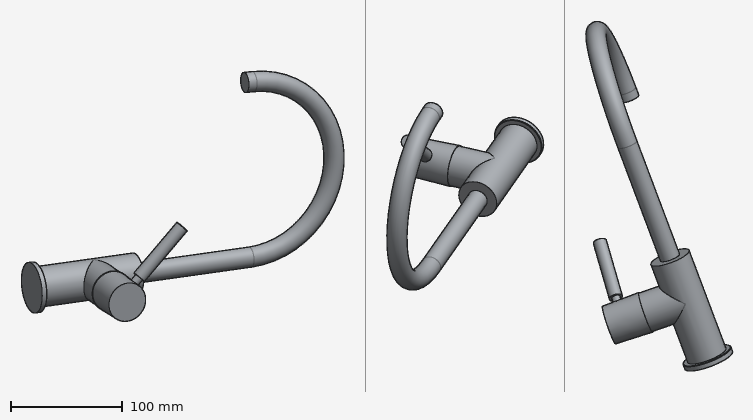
import cadquery as cq
import math

FLANGE_RADIUS = 23.0
FLANGE_THICKNESS = 5.0
FLANGE_CHAMFER = 0.5

HOUSING_RADIUS = 18.3
HOUSING_TOP = 101.7
BRANCH_Y = 61.0
BRANCH_END = 38.0

CAP_END = 72.7
CAP_BASE_RADIUS = 19.0
CAP_END_RADIUS = 18.0

SPOUT_RADIUS = 9.2
BEND_RADIUS = 82.5
BEND_START = 305.5 - BEND_RADIUS - SPOUT_RADIUS
BEND_SHORTFALL = 2.0
TIP_LENGTH = 8.0

LEVER_X = 60.0
LEVER_TILT = 45.0
LEVER_RADIUS = 6.0
LEVER_START = 24.5
LEVER_END = 84.0
STEM_RADIUS = 4.0
STEM_START = 15.3

ALONG_X = cq.Vector(1, 0, 0)
ALONG_Y = cq.Vector(0, 1, 0)
LEVER_DIRECTION = cq.Vector(0, math.cos(math.radians(LEVER_TILT)), math.sin(math.radians(LEVER_TILT)))
LEVER_PIVOT = cq.Vector(LEVER_X, BRANCH_Y, 0)


def rod(start, direction, radius, length):
    """Round solid rod from a start point along a unit direction."""
    return cq.Workplane(cq.Solid.makeCylinder(radius, length, start, direction))


def lever_rod(radius, start, end):
    """Rod on the tilted lever axis, between two distances from the branch axis."""
    return rod(LEVER_PIVOT + LEVER_DIRECTION * start, LEVER_DIRECTION, radius, end - start)


def make_flange():
    """Foot disc with its upper rim lightly chamfered."""
    disc = rod(cq.Vector(0, 0, 0), ALONG_Y, FLANGE_RADIUS, FLANGE_THICKNESS)
    return disc.faces(">Y").edges().chamfer(FLANGE_CHAMFER)


def make_housing():
    """Upright column with an equal-diameter side branch."""
    column = rod(
        cq.Vector(0, FLANGE_THICKNESS, 0), ALONG_Y, HOUSING_RADIUS, HOUSING_TOP - FLANGE_THICKNESS
    )
    branch = rod(cq.Vector(0, BRANCH_Y, 0), ALONG_X, HOUSING_RADIUS, BRANCH_END)
    return column.union(branch)


def make_spout():
    """Straight pipe, near half-turn bend and short straight outlet."""
    shortfall = math.radians(BEND_SHORTFALL)

    def bend_point(angle):
        """(Y, Z) on the bend centreline, turned by an angle from its start."""
        return (
            BEND_START + BEND_RADIUS * math.sin(angle),
            BEND_RADIUS * (1 - math.cos(angle)),
        )

    bend_middle = bend_point((math.pi - shortfall) / 2)
    bend_end = bend_point(math.pi - shortfall)
    tip_end = (
        bend_end[0] - TIP_LENGTH * math.cos(shortfall),
        bend_end[1] + TIP_LENGTH * math.sin(shortfall),
    )
    path = (
        cq.Workplane("YZ")
        .moveTo(HOUSING_TOP, 0)
        .lineTo(BEND_START, 0)
        .threePointArc(bend_middle, bend_end)
        .lineTo(*tip_end)
    )
    return cq.Workplane("XZ", origin=(0, HOUSING_TOP, 0)).circle(SPOUT_RADIUS).sweep(path)


def make_cap(stem):
    """Slightly tapered cap on the branch, with a socket for the lever stem."""
    cone = cq.Solid.makeCone(
        CAP_BASE_RADIUS, CAP_END_RADIUS, CAP_END - BRANCH_END,
        cq.Vector(BRANCH_END, BRANCH_Y, 0), ALONG_X,
    )
    return cq.Workplane(cone).cut(stem)


flange = make_flange()
housing = make_housing()
spout = make_spout()
stem = lever_rod(STEM_RADIUS, STEM_START, LEVER_START)
cap = make_cap(stem)
lever = lever_rod(LEVER_RADIUS, LEVER_START, LEVER_END)

result = cq.Compound.makeCompound(
    [flange.val(), *housing.vals(), spout.val(), *cap.vals(), stem.val(), lever.val()]
)